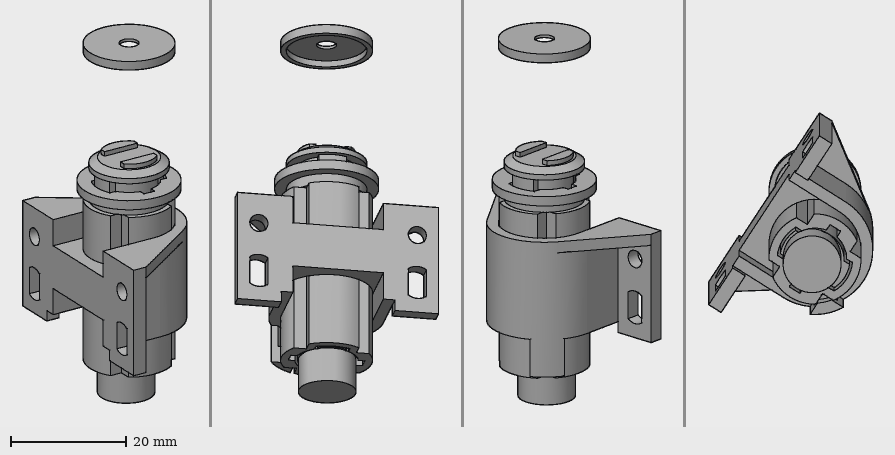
import cadquery as cq
import math


BARREL_RADIUS = 8.0
BARREL_BOTTOM = 6.15
BARREL_TOP = 36.4
NOTCH_CORNER = 4.4
COLLAR_RADIUS = 7.0
FLANGE_RADIUS = 9.05
FLANGE_BOTTOM = 38.35
FLANGE_TOP = 40.05

BORE_RADIUS = 5.5
SLOT_RADIUS = 6.55
LUG_SLOT_WIDTH = 5.95
KEY_SLOT_WIDTH = 2.2

CORE_RADIUS = 5.0
LUG_RADIUS = 6.1
LUG_WIDTH = 4.9
HEAD_RADIUS = COLLAR_RADIUS
HEAD_TOP_RADIUS = 5.5
HEAD_BOTTOM = 42.4
HEAD_CONE_BOTTOM = 43.35
HEAD_TOP = 44.35
RIDGE_TOP = 45.2
RIDGE_GAP = 5.15
RIDGE_LENGTH = 6.8
BOLT_RADIUS = CORE_RADIUS
BOLT_OFFSET_Y = -0.6

BRACKET_WIDTH = 35.5
BRACKET_BACK_Y = -10.5
PLATE_FRONT_Y = -7.9
SLEEVE_RADIUS = 10.0
PLATE_BOTTOM = 12.0
SLEEVE_BOTTOM = 14.0
BRACKET_TOP = 32.0
GUSSET_THICKNESS = 2.05
WINDOW_WIDTH = 2 * BARREL_RADIUS
BRIDGE_BOTTOM = 18.95
BRIDGE_TOP = 27.05
MOUNT_SPACING = 28.0
MOUNT_HOLE_RADIUS = 1.6
MOUNT_HOLE_Z = 26.5
MOUNT_SLOT_Z = 17.6
MOUNT_SLOT_HEIGHT = 6.0
MOUNT_SLOT_RISE = 0.5
TAB_CORNER = 4.7
TAB_BOTTOM = 7.1
TAB_LEDGE_Z = 10.15
TAB_GROOVE_RADIUS = 9.0

WASHER_RADIUS = 8.0
WASHER_HOLE_RADIUS = 1.7
WASHER_BOTTOM = 64.35
WASHER_TOP = 66.0
WASHER_WEB = 0.5


def cylinder(radius, bottom, top):
    """Cylinder on the lock axis between two heights."""
    return cq.Workplane("XY").workplane(offset=bottom).circle(radius).extrude(top - bottom)


def block(x_range, y_range, z_range):
    """Axis-aligned block between the given limits."""
    (x0, x1), (y0, y1), (z0, z1) = x_range, y_range, z_range
    return cq.Workplane("XY").box(x1 - x0, y1 - y0, z1 - z0, centered=False).translate((x0, y0, z0))


def make_lobed_bar(radius, outer_radius, y_lobe_width, bottom, top):
    """Round bar with a lobe of the given width reaching out to outer_radius at +Y and -Y."""
    lobes = cylinder(outer_radius, bottom, top).intersect(
        block(
            (-y_lobe_width / 2, y_lobe_width / 2),
            (-outer_radius, outer_radius),
            (bottom, top),
        )
    )
    return cylinder(radius, bottom, top).union(lobes)


def make_bore():
    """Shape of the barrel bore: round hole, lug slots along Y and key slots along X."""
    bore = make_lobed_bar(BORE_RADIUS, SLOT_RADIUS, LUG_SLOT_WIDTH, BARREL_BOTTOM, FLANGE_TOP)
    key_slots = block(
        (-SLOT_RADIUS, SLOT_RADIUS),
        (-KEY_SLOT_WIDTH / 2, KEY_SLOT_WIDTH / 2),
        (BARREL_BOTTOM, FLANGE_TOP),
    )
    return bore.union(key_slots)


def make_barrel():
    """Housing with four notched corners, collar, flange and slotted bore."""
    barrel = cylinder(BARREL_RADIUS, BARREL_BOTTOM, BARREL_TOP)
    for x_sign in (-1, 1):
        for y_sign in (-1, 1):
            x_limits = sorted((x_sign * NOTCH_CORNER, x_sign * BARREL_RADIUS))
            y_limits = sorted((y_sign * NOTCH_CORNER, y_sign * BARREL_RADIUS))
            barrel = barrel.cut(block(x_limits, y_limits, (BARREL_BOTTOM, BARREL_TOP)))

    collar = cylinder(COLLAR_RADIUS, BARREL_TOP, FLANGE_BOTTOM)
    flange = cylinder(FLANGE_RADIUS, FLANGE_BOTTOM, FLANGE_TOP)
    return barrel.union(collar).union(flange).cut(make_bore())


def make_head():
    """Coned head with two segment-shaped ridges on its top face."""
    profile = [
        (0, HEAD_BOTTOM),
        (HEAD_RADIUS, HEAD_BOTTOM),
        (HEAD_RADIUS, HEAD_CONE_BOTTOM),
        (HEAD_TOP_RADIUS, HEAD_TOP),
        (0, HEAD_TOP),
    ]
    head = cq.Workplane("XZ").polyline(profile).close().revolve(360, (0, 0), (0, 1))

    ridge_y = (-RIDGE_LENGTH / 2, RIDGE_LENGTH / 2)
    ridge_z = (HEAD_TOP, RIDGE_TOP)
    ridges = (
        cylinder(CORE_RADIUS, HEAD_TOP, RIDGE_TOP)
        .intersect(block((-CORE_RADIUS, CORE_RADIUS), ridge_y, ridge_z))
        .cut(block((-RIDGE_GAP / 2, RIDGE_GAP / 2), ridge_y, ridge_z))
    )
    return head.union(ridges)


def make_plug():
    """Core running through the barrel, joined to the head above and the bolt below."""
    core = make_lobed_bar(CORE_RADIUS, LUG_RADIUS, LUG_WIDTH, BARREL_BOTTOM, HEAD_BOTTOM)
    bolt = cylinder(BOLT_RADIUS, 0, BARREL_BOTTOM).translate((0, BOLT_OFFSET_Y, 0))
    return core.union(bolt).union(make_head())


def make_gusset():
    """Top plate whose sloping sides run tangent to the sleeve."""
    half_width = BRACKET_WIDTH / 2
    corner_distance = math.hypot(half_width, PLATE_FRONT_Y)
    tangent_angle = math.atan2(PLATE_FRONT_Y, half_width) + math.acos(SLEEVE_RADIUS / corner_distance)
    tangent_x = SLEEVE_RADIUS * math.cos(tangent_angle)
    tangent_y = SLEEVE_RADIUS * math.sin(tangent_angle)
    return (
        cq.Workplane("XY")
        .workplane(offset=BRACKET_TOP - GUSSET_THICKNESS)
        .moveTo(-half_width, PLATE_FRONT_Y)
        .lineTo(half_width, PLATE_FRONT_Y)
        .lineTo(tangent_x, tangent_y)
        .threePointArc((0, SLEEVE_RADIUS), (-tangent_x, tangent_y))
        .close()
        .extrude(GUSSET_THICKNESS)
    )


def make_tab():
    """Corner tab hanging below the sleeve, grooved inside above a ledge."""
    tab = cylinder(SLEEVE_RADIUS, TAB_BOTTOM, SLEEVE_BOTTOM).intersect(
        block(
            (-SLEEVE_RADIUS, -TAB_CORNER),
            (TAB_CORNER, SLEEVE_RADIUS),
            (TAB_BOTTOM, SLEEVE_BOTTOM),
        )
    )
    return tab.cut(cylinder(TAB_GROOVE_RADIUS, TAB_LEDGE_Z, SLEEVE_BOTTOM))


def make_mount_openings(x):
    """Round hole and arc-ended slot through the mounting plate at the given X."""
    depth = PLATE_FRONT_Y - BRACKET_BACK_Y
    plane = cq.Workplane("XZ", origin=(x, PLATE_FRONT_Y, 0))
    hole = plane.center(0, MOUNT_HOLE_Z).circle(MOUNT_HOLE_RADIUS).extrude(depth)
    half_width = MOUNT_HOLE_RADIUS
    crown = MOUNT_SLOT_HEIGHT / 2
    shoulder = crown - MOUNT_SLOT_RISE
    slot = (
        plane.center(0, MOUNT_SLOT_Z)
        .moveTo(-half_width, -shoulder)
        .threePointArc((0, -crown), (half_width, -shoulder))
        .lineTo(half_width, shoulder)
        .threePointArc((0, crown), (-half_width, shoulder))
        .close()
        .extrude(depth)
    )
    return hole.union(slot)


def make_bracket():
    """Mounting plate and sleeve that hold the barrel."""
    half_width = BRACKET_WIDTH / 2
    sleeve_z = (SLEEVE_BOTTOM, BRACKET_TOP)
    sleeve_x = (-SLEEVE_RADIUS, SLEEVE_RADIUS)
    plate_y = (BRACKET_BACK_Y, PLATE_FRONT_Y)

    plate = block((-half_width, half_width), plate_y, (PLATE_BOTTOM, BRACKET_TOP))
    plate = plate.cut(block(sleeve_x, plate_y, (PLATE_BOTTOM, SLEEVE_BOTTOM)))

    bracket = (
        cylinder(SLEEVE_RADIUS, SLEEVE_BOTTOM, BRACKET_TOP)
        .union(block(sleeve_x, (PLATE_FRONT_Y, 0), sleeve_z))
        .union(plate)
        .union(make_gusset())
        .union(make_tab())
        .cut(cylinder(BARREL_RADIUS, TAB_BOTTOM, BRACKET_TOP))
    )

    window_x = (-WINDOW_WIDTH / 2, WINDOW_WIDTH / 2)
    for window_z in ((BRIDGE_TOP, BRACKET_TOP), (SLEEVE_BOTTOM, BRIDGE_BOTTOM)):
        bracket = bracket.cut(block(window_x, (BRACKET_BACK_Y, 0), window_z))

    for x in (-MOUNT_SPACING / 2, MOUNT_SPACING / 2):
        bracket = bracket.cut(make_mount_openings(x))
    return bracket


def make_washer():
    """Cover washer with a central hole, hollowed from below to fit over the head."""
    disc = cylinder(WASHER_RADIUS, WASHER_BOTTOM, WASHER_TOP)
    recess = cylinder(HEAD_RADIUS, WASHER_BOTTOM, WASHER_TOP - WASHER_WEB)
    return disc.cut(recess).cut(cylinder(WASHER_HOLE_RADIUS, WASHER_BOTTOM, WASHER_TOP))


barrel = make_barrel()
plug = make_plug()
bracket = make_bracket()
washer = make_washer()

result = cq.Compound.makeCompound([barrel.val(), plug.val(), bracket.val(), washer.val()])